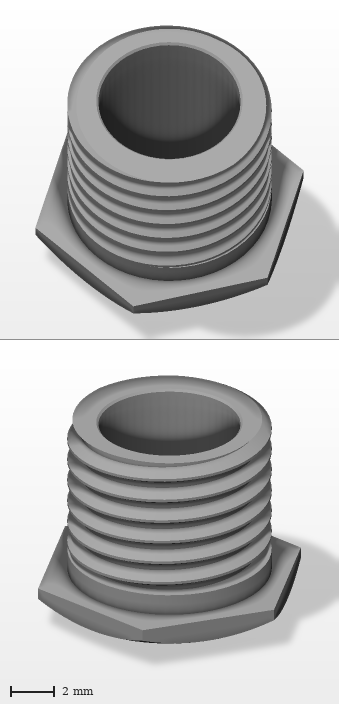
import cadquery as cq
import math

hex_sides = 6
across_flats = 11.0
across_corners = across_flats / math.cos(math.pi / hex_sides)
head_height = 1.95
base_radius = 3.43
dome_flat_height = 0.89

major_diameter = 9.36
minor_diameter = 8.24
collar_height = 1.0
thread_length = 6.5

bore_diameter = 6.5
bore_chamfer = 0.1

pitch = 25.4 / 24
flank_angle = 30.0
crest_width = pitch / 8
crest_height_at_x_axis = 5.39
groove_overcut = 0.05

major_radius = major_diameter / 2
minor_radius = minor_diameter / 2
thread_start = head_height + collar_height
total_height = thread_start + thread_length


def hex_head():
    """Hexagonal prism, two sides facing +X and -X, trimmed to a spherical underside."""
    flat_radius = across_flats / 2
    center_height = (
        flat_radius**2 + dome_flat_height**2 - base_radius**2
    ) / (2 * dome_flat_height)
    sphere_radius = math.hypot(base_radius, center_height)
    dome = cq.Workplane("XY").sphere(sphere_radius).translate((0, 0, center_height))
    prism = (
        cq.Workplane("XY")
        .polygon(hex_sides, across_corners)
        .extrude(head_height)
        .rotate((0, 0, 0), (0, 0, 1), 180 / hex_sides)
    )
    return prism.intersect(dome)


def collar():
    """Plain cylinder between the head and the thread."""
    return cq.Workplane("XY").workplane(offset=head_height).circle(major_radius).extrude(collar_height)


def thread_groove(first_height, turns):
    """Helical groove whose middle crosses the +X direction at first_height."""
    slope = math.tan(math.radians(flank_angle))
    outer_radius = major_radius + groove_overcut
    half_mouth = (pitch - crest_width) / 2
    half_root = half_mouth - (major_radius - minor_radius) * slope
    half_outer = half_mouth + groove_overcut * slope
    helix = cq.Wire.makeHelix(pitch, turns * pitch, minor_radius)
    groove = (
        cq.Workplane("XZ")
        .moveTo(minor_radius, -half_root)
        .lineTo(outer_radius, -half_outer)
        .lineTo(outer_radius, half_outer)
        .lineTo(minor_radius, half_root)
        .close()
        .sweep(cq.Workplane(obj=helix), isFrenet=True)
    )
    return groove.translate((0, 0, first_height))


def threaded_shank():
    """Threaded cylinder, cut off square at the collar and at the top."""
    groove_height = crest_height_at_x_axis + pitch / 2
    turns_below = math.ceil((groove_height - thread_start) / pitch) + 1
    first_height = groove_height - turns_below * pitch
    turns = math.ceil((total_height - first_height) / pitch) + 1
    blank = (
        cq.Workplane("XY").workplane(offset=thread_start).circle(major_radius).extrude(thread_length)
    )
    return blank.cut(thread_groove(first_height, turns))


def bore():
    """Through hole, chamfered at the top."""
    hole = cq.Workplane("XY").circle(bore_diameter / 2).extrude(total_height)
    chamfer = (
        cq.Workplane("XY")
        .workplane(offset=total_height)
        .circle(bore_diameter / 2 + bore_chamfer)
        .workplane(offset=-bore_chamfer)
        .circle(bore_diameter / 2)
        .loft()
    )
    return hole.union(chamfer)


result = hex_head().union(collar()).union(threaded_shank()).cut(bore())